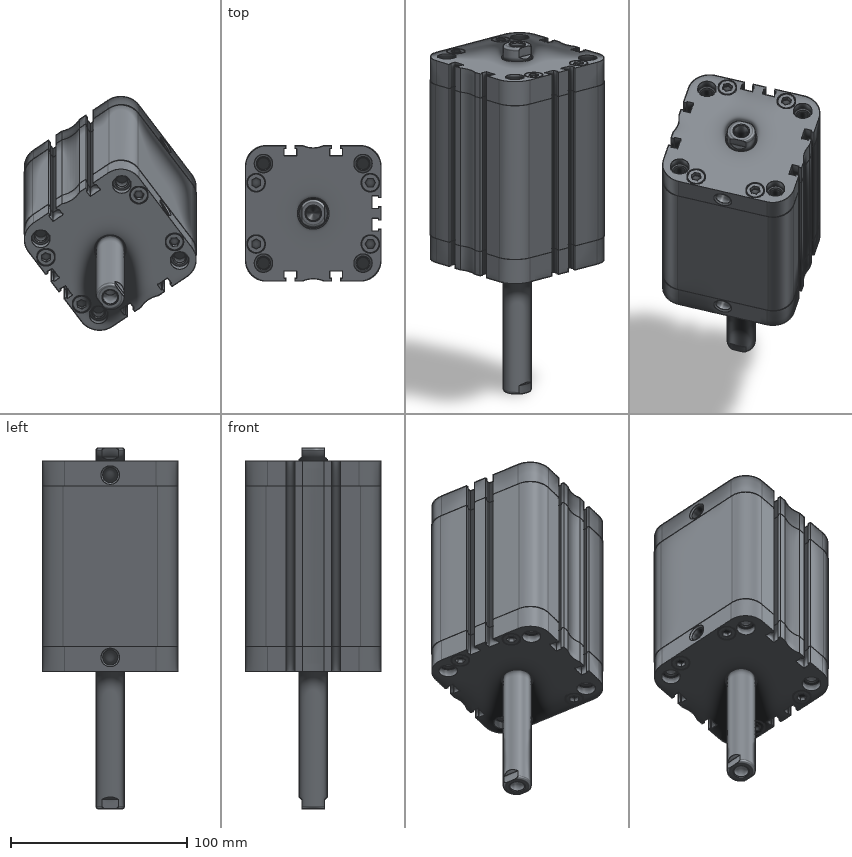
import cadquery as cq
import math

body_width = 77.0
cap_corner_radius = 12.5
tube_corner_radius = 11.8
overall_length = 205.0
body_length = 119.5
cap_length = 14.25
rod_top_overhang = 7.5

slot_opening = 5.2
slot_pocket_width = 7.0
side_slot_depth = 5.7
side_slot_lip = 1.8
side_slot_offset = 13.0
end_slot_depth = 5.1
end_slot_lip = 1.5
end_slot_offset = 6.4
groove_width = 12.3
groove_depth = 1.3

rod_diameter = 16.0
rod_end_radius = 1.5
flats_width = 13.0
flats_length = 5.3
rod_thread_diameter = 8.38
rod_thread_mouth = 9.4
rod_thread_depth = 15.0
drill_point_angle = 118.0

rod_clearance_diameter = 16.54
rod_clearance_depth = 3.0
rod_mouth_diameter = 18.0

mount_offset = 28.25
mount_counterbore = 10.5
mount_counterbore_depth = 5.0
mount_thread_diameter = 6.65
mount_thread_mouth = 8.0
mount_thread_depth = 12.0

screw_x = 32.4
screw_y = 17.4
screw_recess_diameter = 10.5
screw_head_diameter = 9.8
screw_gap_depth = 1.0
hex_across_flats = 5.0
hex_depth = 3.0

port_diameter = 8.57
port_mouth_diameter = 10.5
port_depth = 10.0
port_inset = 8.0

half_width = body_width / 2
tube_length = body_length - 2 * cap_length
body_bottom = 0.0
rod_top = body_bottom + body_length + rod_top_overhang
rod_bottom = rod_top - overall_length


def lipped_slot(length, depth, lip):
    """Slot open at y = 0, running into -y, centred on x = 0."""
    mouth = cq.Workplane("XY").rect(slot_opening, 2 * depth).extrude(length)
    pocket = (
        cq.Workplane("XY")
        .center(0, -(depth + lip) / 2)
        .rect(slot_pocket_width, depth - lip)
        .extrude(length)
    )
    return mouth.union(pocket)


def shallow_groove(length):
    """Round-bottomed groove sunk into the +Y face."""
    radius = ((groove_width / 2) ** 2 + groove_depth**2) / (2 * groove_depth)
    centre_y = half_width - groove_depth + radius
    return cq.Workplane("XY").center(0, centre_y).circle(radius).extrude(length)


def body_section(length, corner_radius):
    """Rounded square with slots on three faces, standing on z = 0."""
    section = (
        cq.Workplane("XY")
        .sketch()
        .rect(body_width, body_width)
        .vertices()
        .fillet(corner_radius)
        .finalize()
        .extrude(length)
    )
    side_slot = lipped_slot(length, side_slot_depth, side_slot_lip).translate((0, half_width, 0))
    end_slot = lipped_slot(length, end_slot_depth, end_slot_lip).translate((0, half_width, 0))
    groove = shallow_groove(length)
    for turn in (0, 180):
        section = section.cut(groove.rotate((0, 0, 0), (0, 0, 1), turn))
        for x in (-side_slot_offset, side_slot_offset):
            section = section.cut(side_slot.translate((x, 0, 0)).rotate((0, 0, 0), (0, 0, 1), turn))
    for y in (-end_slot_offset, end_slot_offset):
        section = section.cut(end_slot.translate((y, 0, 0)).rotate((0, 0, 0), (0, 0, 1), -90))
    return section


def countersunk_hole(diameter, mouth_diameter, depth):
    """Blind round cutter going down from z = 0, with a 45 degree mouth."""
    chamfer = (mouth_diameter - diameter) / 2
    return (
        cq.Workplane("XZ")
        .polyline([
            (0, 0),
            (mouth_diameter / 2, 0),
            (diameter / 2, -chamfer),
            (diameter / 2, -depth),
            (0, -depth),
        ])
        .close()
        .revolve(360, (0, 0, 0), (0, 1, 0))
    )


def make_tube():
    tube = body_section(tube_length, tube_corner_radius)
    return tube.cut(cq.Workplane("XY").circle(rod_diameter / 2).extrude(tube_length))


def make_cap():
    cap = body_section(cap_length, cap_corner_radius)

    cap = cap.cut(cq.Workplane("XY").circle(rod_diameter / 2).extrude(cap_length))
    rod_mouth = countersunk_hole(rod_clearance_diameter, rod_mouth_diameter, rod_clearance_depth)
    cap = cap.cut(rod_mouth.translate((0, 0, cap_length)))

    counterbore = cq.Workplane("XY").circle(mount_counterbore / 2).extrude(-mount_counterbore_depth)
    thread = countersunk_hole(
        mount_thread_diameter, mount_thread_mouth, mount_thread_depth - mount_counterbore_depth
    )
    mount = counterbore.union(thread.translate((0, 0, -mount_counterbore_depth)))

    screw_gap = (
        cq.Workplane("XY")
        .circle(screw_recess_diameter / 2)
        .circle(screw_head_diameter / 2)
        .extrude(-screw_gap_depth)
    )
    hex_diameter = hex_across_flats / math.cos(math.pi / 6)
    hex_socket = cq.Workplane("XY").polygon(6, hex_diameter).extrude(-hex_depth)
    screw = screw_gap.union(hex_socket)

    for x_side in (-1, 1):
        screw_turn = 90 if x_side < 0 else 0
        turned_screw = screw.rotate((0, 0, 0), (0, 0, 1), screw_turn)
        for y_side in (-1, 1):
            cap = cap.cut(mount.translate((x_side * mount_offset, y_side * mount_offset, cap_length)))
            cap = cap.cut(turned_screw.translate((x_side * screw_x, y_side * screw_y, cap_length)))

    port = countersunk_hole(port_diameter, port_mouth_diameter, port_depth)
    port = port.rotate((0, 0, 0), (0, 1, 0), -90)
    return cap.cut(port.translate((-half_width, 0, cap_length - port_inset)))


def make_rod():
    rod = (
        cq.Workplane("XY", origin=(0, 0, rod_bottom))
        .circle(rod_diameter / 2)
        .extrude(overall_length)
        .faces("<Z or >Z")
        .edges()
        .fillet(rod_end_radius)
    )
    flat_inset = (rod_diameter - flats_width) / 2
    flat_cutter = (
        cq.Workplane("XZ")
        .polyline([
            (flats_width / 2, 0),
            (flats_width / 2, -flats_length),
            (rod_diameter / 2, -flats_length - flat_inset),
            (rod_diameter / 2, 0),
        ])
        .close()
        .extrude(rod_diameter / 2, both=True)
    )
    point_height = rod_thread_diameter / 2 / math.tan(math.radians(drill_point_angle / 2))
    drill_point = cq.Workplane(
        cq.Solid.makeCone(
            rod_thread_diameter / 2,
            0,
            point_height,
            pnt=cq.Vector(0, 0, -rod_thread_depth),
            dir=cq.Vector(0, 0, -1),
        )
    )
    thread = countersunk_hole(rod_thread_diameter, rod_thread_mouth, rod_thread_depth)
    end_cut = flat_cutter.union(flat_cutter.mirror("YZ")).union(thread).union(drill_point)
    rod = rod.cut(end_cut.translate((0, 0, rod_top)))
    return rod.cut(end_cut.mirror("XY").translate((0, 0, rod_bottom)))


cap = make_cap()
top_cap = cap.translate((0, 0, body_bottom + cap_length + tube_length))
bottom_cap = cap.mirror("XY").translate((0, 0, body_bottom + cap_length))
tube = make_tube().translate((0, 0, body_bottom + cap_length))
piston_rod = make_rod()

result = cq.Compound.makeCompound([tube.val(), top_cap.val(), bottom_cap.val(), piston_rod.val()])